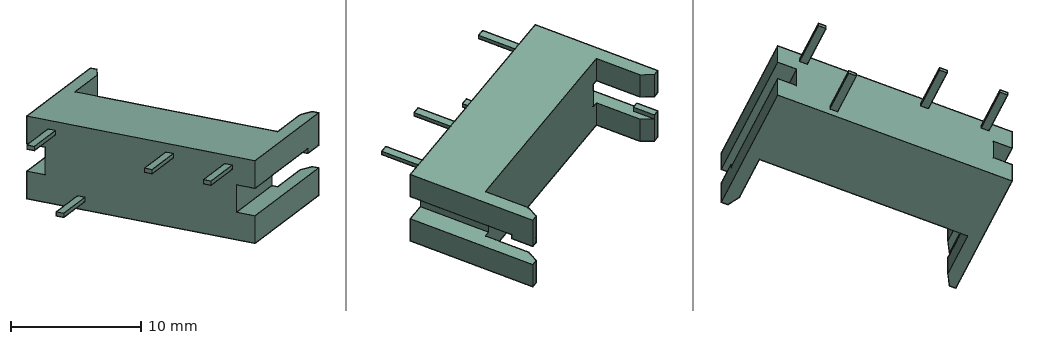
import cadquery as cq

width = 19.7
height = 6.9
pin_length = 3.6
housing_length = 14.4 - pin_length

body_length = 6.0
arm_thickness = 1.1
tip_thickness = arm_thickness / 2
tip_taper_length = 0.97

slot_height = 2.29
slot_depth = 1.6
tab_length = 1.85
tab_height = 0.41

pin_pitch = 2.55
pin_width = 0.65
pin_thickness = 0.35
pin_row_spacing = 2 * pin_pitch
first_pin_x = -7.68
upper_pin_steps = (0, 4, 6)
lower_pin_steps = (1,)

half_width = width / 2
half_slot = slot_height / 2


def make_housing():
    """U-shaped block whose arms taper on the inside at their tips."""
    arm_inner_x = half_width - arm_thickness
    tip_inner_x = half_width - tip_thickness
    taper_start_y = housing_length - tip_taper_length
    right_half = [
        (half_width, 0),
        (half_width, housing_length),
        (tip_inner_x, housing_length),
        (arm_inner_x, taper_start_y),
        (arm_inner_x, body_length),
    ]
    left_half = [(-x, y) for x, y in reversed(right_half)]
    return (
        cq.Workplane("XY", origin=(0, 0, -height / 2))
        .polyline(right_half + left_half)
        .close()
        .extrude(height)
    )


def make_slot(side):
    """Channel through the full length of one end; side is -1 or 1."""
    center_x = side * (half_width - slot_depth / 2)
    return (
        cq.Workplane("XY")
        .box(slot_depth, housing_length, slot_height)
        .translate((center_x, housing_length / 2, 0))
    )


def make_tab(side):
    """Latch tab at an arm tip: on the lower arm at left, on the upper arm at right."""
    center_x = side * (half_width - tip_thickness / 2)
    center_y = housing_length - tab_length / 2
    center_z = side * (half_slot - tab_height / 2)
    return (
        cq.Workplane("XY")
        .box(tip_thickness, tab_length, tab_height)
        .translate((center_x, center_y, center_z))
    )


def make_pin(grid_step, row_z):
    """Straight rectangular pin standing out of the pin face."""
    center_x = first_pin_x + grid_step * pin_pitch
    return (
        cq.Workplane("XY")
        .box(pin_width, pin_length, pin_thickness)
        .translate((center_x, -pin_length / 2, row_z))
    )


result = make_housing()
for end in (-1, 1):
    result = result.cut(make_slot(end)).union(make_tab(end))

for step in upper_pin_steps:
    result = result.union(make_pin(step, pin_row_spacing / 2))
for step in lower_pin_steps:
    result = result.union(make_pin(step, -pin_row_spacing / 2))